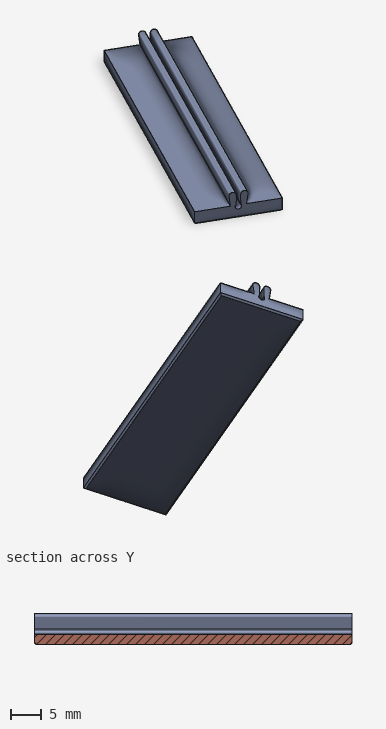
import cadquery as cq
import math

length = 52.0
plate_width = 15.0
plate_thickness = 2.5
bottom_chamfer = 0.3

overall_height = 5.1
head_radius = 0.6
head_gap_half = 0.375
neck_gap_half = 0.39
neck_thickness = 1.0

groove_radius = 0.5
groove_depth = 0.8

head_height = overall_height - head_radius
head_offset = head_gap_half + head_radius
neck_outer = neck_gap_half + neck_thickness


def extrude_along_length(outline):
    """Extrude a closed YZ outline over the full length, centred on X = 0."""
    return outline.extrude(length / 2, both=True)


def make_plate():
    """Plate resting on Z = 0 with its bottom rim chamfered."""
    plate = cq.Workplane("XY").box(length, plate_width, plate_thickness, centered=(True, True, False))
    return plate.faces("<Z").edges().chamfer(bottom_chamfer)


def head_touch_point(neck_y, turn):
    """Point (Y, Z) where a wall rising from the neck touches the head circle.

    A turn of 1 gives the outer wall of the leg, -1 the inner wall.
    """
    across = neck_y - head_offset
    down = plate_thickness - head_height
    to_neck = math.atan2(down, across)
    touch_angle = to_neck + turn * math.acos(head_radius / math.hypot(across, down))
    return (
        head_offset + head_radius * math.cos(touch_angle),
        head_height + head_radius * math.sin(touch_angle),
    )


def make_leg(side):
    """Leg on the +Y (side = 1) or -Y (side = -1) half; both walls run tangent into the round head."""
    outer_y, outer_z = head_touch_point(neck_outer, 1)
    inner_y, inner_z = head_touch_point(neck_gap_half, -1)
    outline = (
        cq.Workplane("YZ")
        .moveTo(side * neck_outer, plate_thickness)
        .lineTo(side * outer_y, outer_z)
        .threePointArc((side * head_offset, overall_height), (side * inner_y, inner_z))
        .lineTo(side * neck_gap_half, plate_thickness)
        .close()
    )
    return extrude_along_length(outline)


def make_groove():
    """Round cutter that hollows the plate and undercuts the feet of the legs."""
    centre_height = plate_thickness - groove_depth + groove_radius
    return extrude_along_length(cq.Workplane("YZ").center(0, centre_height).circle(groove_radius))


clip_strip = make_plate()
for side in (-1, 1):
    clip_strip = clip_strip.union(make_leg(side))
clip_strip = clip_strip.cut(make_groove())

result = cq.Compound.makeCompound([clip_strip.val()])